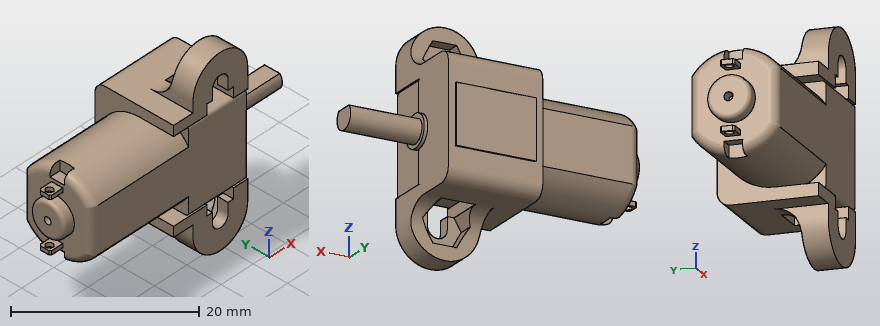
import cadquery as cq
import math


can_radius = 6.0
can_half_width = 5.0
can_fillet = 1.05
notch_length = 1.5
notch_width = 2.08
notch_floor = 4.48

boss_radius = 2.5
boss_length = 1.48
boss_fillet = 0.5
boss_bore_diameter = 1.0

terminal_length = 1.95
terminal_width = 1.65
terminal_thickness = 0.55
terminal_z = 3.7
terminal_chamfer = 0.2
terminal_hole_diameter = 1.0
terminal_hole_inset = 0.75

gearbox_start = 15.05
gearbox_end = 24.02
gearbox_half_height = can_radius
gearbox_fillet = 0.5

base_y = -can_half_width
bracket_start = 12.75
bracket_end = 24.23
wall_thickness = 1.48
bracket_half_height = gearbox_half_height + wall_thickness
bracket_back = 6.5
bracket_fillet = 1.5

panel_thickness = 0.2
panel_length = 9.7
panel_height = 7.2

ear_width = 8.5
ear_x = bracket_end - ear_width / 2
overall_height = 26.5
ear_tip = overall_height / 2
ear_arc_z = ear_tip - ear_width / 2
ear_thickness = 3.1
ear_back = base_y + ear_thickness
ear_fillet = 3.0
blend_y = ear_back + ear_fillet
slot_width = 2.4
nut_flats = 5.0
nut_corners = nut_flats / math.cos(math.pi / 6)
nut_seat_thickness = 1.5
window_width = 4.1

overall_length = 35.27
shaft_end = overall_length - terminal_length
shaft_radius = 1.5
shaft_height_over_flat = 2.5
collar_diameter = 4.0
collar_end = 24.65


def box(x_range, y_range, z_range):
    """Axis-aligned box between the given limits."""
    (x0, x1), (y0, y1), (z0, z1) = x_range, y_range, z_range
    return cq.Workplane("XY").box(x1 - x0, y1 - y0, z1 - z0, centered=False).translate((x0, y0, z0))


def along_x(x):
    """Plane at x whose local axes are Y and Z and whose normal is +X."""
    return cq.Workplane("YZ", origin=(x, 0, 0))


def along_y(y, x, z):
    """Plane at y whose local axes are X and -Z and whose normal is +Y."""
    return cq.Workplane("ZX", origin=(x, y, z)).transformed(rotate=(0, 0, 90))


def both_sides(upper):
    """The upper solid together with its mirror image below the XY plane."""
    return upper.union(upper.mirror("XY"))


def make_motor():
    can = along_x(0).circle(can_radius).extrude(gearbox_start)
    flats = box((0, gearbox_start), (-can_half_width, can_half_width), (-can_radius, can_radius))
    can = can.intersect(flats).faces("<X").edges().fillet(can_fillet)
    notch = box((0, notch_length), (-notch_width / 2, notch_width / 2), (notch_floor, can_radius))
    can = can.cut(both_sides(notch))
    boss = along_x(-boss_length).circle(boss_radius).extrude(boss_length)
    boss = boss.faces("<X").edges().fillet(boss_fillet)
    bore = along_x(-boss_length).circle(boss_bore_diameter / 2).extrude(boss_length)
    return can.union(boss.cut(bore))


def make_terminals():
    blade = cq.Workplane("XY").box(terminal_length, terminal_width, terminal_thickness)
    blade = blade.edges("<X and |Z").chamfer(terminal_chamfer)
    blade = blade.translate((-terminal_length / 2, 0, 0))
    hole = cq.Workplane("XY").circle(terminal_hole_diameter / 2).extrude(terminal_thickness, both=True)
    blade = blade.cut(hole.translate((terminal_hole_inset - terminal_length, 0, 0)))
    return both_sides(blade.translate((0, 0, terminal_z)))


def make_gearbox():
    block = box((gearbox_start, gearbox_end), (base_y, 0), (-gearbox_half_height, gearbox_half_height))
    return block.edges("|X and <Y").fillet(gearbox_fillet)


def make_bracket_body():
    body = box(
        (bracket_start, bracket_end),
        (base_y, bracket_back),
        (-bracket_half_height, bracket_half_height),
    )
    body = body.edges("|X and >Y").fillet(bracket_fillet)
    channel = box((bracket_start, bracket_end), (base_y, 0), (-gearbox_half_height, gearbox_half_height))
    panel = box(
        (-panel_length / 2, panel_length / 2),
        (0, bracket_back + panel_thickness),
        (-panel_height / 2, panel_height / 2),
    )
    return body.cut(channel).union(panel.translate(((bracket_start + bracket_end) / 2, 0, 0)))


def make_ear():
    """Upper ear: rounded plate blended into the bracket wall by a concave fillet."""
    blend_z = bracket_half_height + ear_fillet
    blend_mid = ear_fillet * math.sqrt(0.5)
    side = (
        along_x(ear_x - ear_width / 2)
        .moveTo(base_y, gearbox_half_height)
        .lineTo(blend_y, gearbox_half_height)
        .lineTo(blend_y, bracket_half_height)
        .threePointArc((blend_y - blend_mid, blend_z - blend_mid), (ear_back, blend_z))
        .lineTo(ear_back, ear_tip)
        .lineTo(base_y, ear_tip)
        .close()
        .extrude(ear_width)
    )
    outline = along_y(base_y, ear_x, ear_arc_z).circle(ear_width / 2).extrude(blend_y - base_y)
    root = box(
        (ear_x - ear_width / 2, ear_x + ear_width / 2),
        (base_y, blend_y),
        (gearbox_half_height, ear_arc_z),
    )
    return side.intersect(outline.union(root))


def make_ear_opening():
    """Screw slot, nut recess behind the ear and the window through the bracket wall."""
    hole = along_y(base_y, ear_x, ear_arc_z).circle(slot_width / 2).extrude(ear_thickness)
    slot = box(
        (ear_x - slot_width / 2, ear_x + slot_width / 2),
        (base_y, ear_back),
        (gearbox_half_height, ear_arc_z),
    )
    window = box(
        (ear_x - window_width / 2, ear_x + window_width / 2),
        (base_y, blend_y),
        (gearbox_half_height, bracket_half_height),
    )
    nut_seat = base_y + nut_seat_thickness
    nut = along_y(nut_seat, ear_x, ear_arc_z).polygon(6, nut_corners).extrude(blend_y - nut_seat)
    return hole.union(slot).union(window).union(nut)


def make_shaft():
    shaft = along_x(gearbox_end).circle(shaft_radius).extrude(shaft_end - gearbox_end)
    flat_z = shaft_height_over_flat - shaft_radius
    above_flat = box((collar_end, shaft_end), (-shaft_radius, shaft_radius), (flat_z, shaft_radius))
    collar = along_x(gearbox_end).circle(collar_diameter / 2).extrude(collar_end - gearbox_end)
    return shaft.cut(above_flat).union(collar)


bracket = make_bracket_body().union(both_sides(make_ear())).cut(both_sides(make_ear_opening()))

result = (
    bracket.union(make_gearbox())
    .union(make_motor())
    .union(make_terminals())
    .union(make_shaft())
)